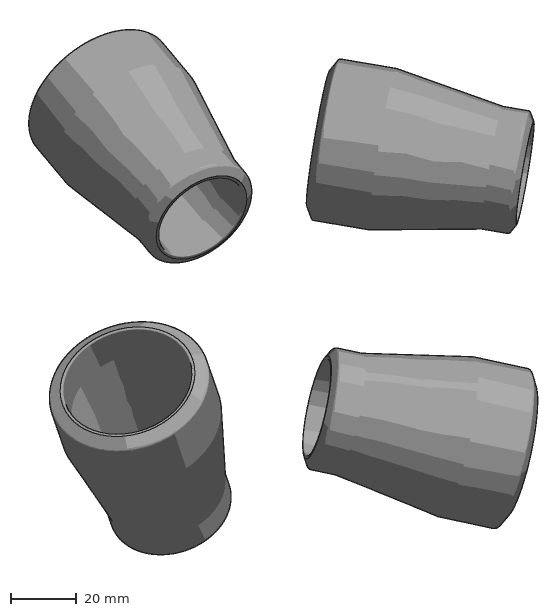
import cadquery as cq
import math

length = 64.0
large_diameter = 50.0
small_diameter = 38.0
large_bore = 40.0
small_bore = 30.0
large_collar_length = 20.0
small_collar_length = 10.0
large_bore_length = 12.0

land_width = 1.0
bevel_angle = 30.0
bevel_edge_radius = 1.0
bore_edge_radius = 0.3

large_radius = large_diameter / 2
small_radius = small_diameter / 2
large_bore_radius = large_bore / 2
small_bore_radius = small_bore / 2
taper_start = large_collar_length
taper_end = length - small_collar_length


def bevel_length(outer_radius, land_radius):
    """Axial length of the bevel from the flat land to the outside."""
    return (outer_radius - land_radius) * math.tan(math.radians(bevel_angle))


large_land_radius = large_bore_radius + land_width
small_land_radius = small_bore_radius + land_width
large_bevel_end = bevel_length(large_radius, large_land_radius)
small_bevel_start = length - bevel_length(small_radius, small_land_radius)

wall_section = [
    (0, large_bore_radius),
    (large_bore_length, large_bore_radius),
    (taper_end, small_bore_radius),
    (length, small_bore_radius),
    (length, small_land_radius),
    (small_bevel_start, small_radius),
    (taper_end, small_radius),
    (taper_start, large_radius),
    (large_bevel_end, large_radius),
    (0, large_land_radius),
]
section_sketch = cq.Workplane("XZ").polyline(wall_section).close()

reducer = section_sketch.revolve(360, (0, 0, 0), (1, 0, 0))

for bevel_edge_x in (large_bevel_end, small_bevel_start):
    around_centre = cq.selectors.BoxSelector(
        (bevel_edge_x - bevel_edge_radius / 2, -bevel_edge_radius, -bevel_edge_radius),
        (bevel_edge_x + bevel_edge_radius / 2, bevel_edge_radius, bevel_edge_radius),
    )
    reducer = reducer.edges("%CIRCLE").edges(around_centre).fillet(bevel_edge_radius)

for end_face in ("<X", ">X"):
    bore_edge = reducer.faces(end_face).edges(cq.selectors.RadiusNthSelector(0))
    reducer = bore_edge.fillet(bore_edge_radius)

result = reducer